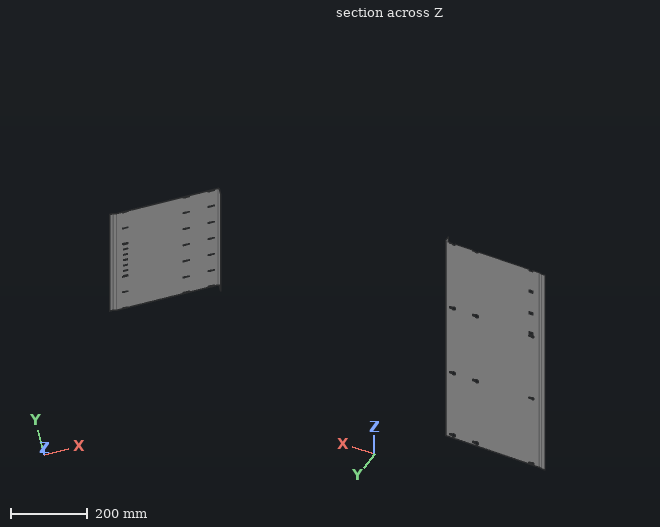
import cadquery as cq
import math

width = 294.0
depth = 19.6
height = 1344.0
sheet = 1.0

lip_width = 9.6
step_width = 8.3
step_angle = 15.0

bend_outer_radius = 3.5

keyhole_columns = (201.3, 268.5)
keyhole_head = 10.0
keyhole_slot = 5.0
keyhole_reach = 10.0
row_pitch = height / 6
end_margin = 10.0

small_column = 37.0
small_head = 7.0
small_slot = 3.0
small_reach = 10.0
small_shift = 5.0

window_column = 42.3
window_width = 11.0
window_height = 7.0
middle_window_height = 9.0
window_pitch = 75.0

step_depth = step_width * math.tan(math.radians(step_angle))
web_start = lip_width + step_width
bend_inner_radius = bend_outer_radius - sheet
bend_start = width - bend_outer_radius
bend_end = -step_depth - bend_outer_radius
end_row = height / 2 - end_margin


def mirrored(rows):
    """Every row height together with its mirror image below mid-height."""
    return [side * row for row in rows for side in (1, -1)]


def panel():
    """Bent sheet: rear lip, sloped step, flat web and right-hand flange."""
    miter = sheet * math.tan(math.radians(step_angle / 2))
    section = (
        cq.Workplane("XY")
        .moveTo(0, 0)
        .lineTo(lip_width + miter, 0)
        .lineTo(web_start + miter, -step_depth)
        .lineTo(bend_start, -step_depth)
        .radiusArc((width, bend_end), bend_outer_radius)
        .lineTo(width, -depth)
        .lineTo(width - sheet, -depth)
        .lineTo(width - sheet, bend_end)
        .radiusArc((bend_start, -step_depth - sheet), -bend_inner_radius)
        .lineTo(web_start, -step_depth - sheet)
        .lineTo(lip_width, -sheet)
        .lineTo(0, -sheet)
        .close()
    )
    return section.extrude(height / 2, both=True)


def keyhole(x, z, head, slot, reach):
    """Cutter for a round head at (x, z) with a round-ended slot running to +X."""
    half_slot = slot / 2
    neck = math.sqrt((head / 2) ** 2 - half_slot**2)
    outline = (
        cq.Workplane("XZ")
        .center(x, z)
        .moveTo(neck, half_slot)
        .threePointArc((-head / 2, 0), (neck, -half_slot))
        .lineTo(reach, -half_slot)
        .threePointArc((reach + half_slot, 0), (reach, half_slot))
        .close()
    )
    return outline.extrude(depth).val()


def large_keyholes():
    rows = [0.0] + mirrored([row_pitch, 2 * row_pitch, end_row])
    return [
        keyhole(x, z, keyhole_head, keyhole_slot, keyhole_reach)
        for x in keyhole_columns
        for z in rows
    ]


def small_keyholes():
    rows = mirrored([row_pitch + small_shift, 2 * row_pitch - small_shift, end_row + small_shift])
    return [keyhole(small_column, z, small_head, small_slot, small_reach) for z in rows]


def window(z, opening_height):
    """Cutter for a rectangular opening centred at height z."""
    outline = cq.Workplane("XZ").center(window_column, z).rect(window_width, opening_height)
    return outline.extrude(depth).val()


def windows():
    rows = mirrored([window_pitch, 2 * window_pitch, row_pitch - small_shift])
    return [window(0.0, middle_window_height)] + [window(z, window_height) for z in rows]


cutters = large_keyholes() + small_keyholes() + windows()
result = cq.Workplane(panel().val().cut(*cutters).Solids()[0])